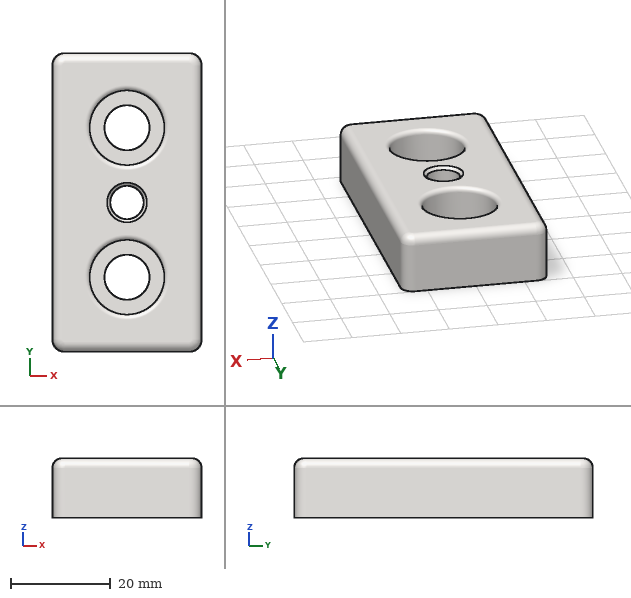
import cadquery as cq

width = 30.0
length = 60.0
height = 12.0
corner_radius = 2.5
top_edge_radius = 2.0

hole_spacing = length / 2
hole_diameter = 9.0
counterbore_diameter = 15.0
counterbore_depth = 9.0
counterbore_edge_radius = 1.0

centre_hole_diameter = 6.65
centre_hole_mouth_diameter = 8.0
centre_chamfer = (centre_hole_mouth_diameter - centre_hole_diameter) / 2


def make_block():
    """Block standing on Z = 0 with rounded corners and a rounded top edge."""
    block = cq.Workplane("XY").box(width, length, height, centered=(True, True, False))
    block = block.edges("|Z").fillet(corner_radius)
    return block.faces(">Z").edges().fillet(top_edge_radius)


def make_counterbored_cutter(y):
    """Through hole and counterbore whose mouth flares out in a convex round."""
    hole_radius = hole_diameter / 2
    bore_radius = counterbore_diameter / 2
    mouth_radius = bore_radius + counterbore_edge_radius
    profile = (
        cq.Workplane("XZ")
        .lineTo(hole_radius, 0)
        .lineTo(hole_radius, height - counterbore_depth)
        .lineTo(bore_radius, height - counterbore_depth)
        .lineTo(bore_radius, height - counterbore_edge_radius)
        .radiusArc((mouth_radius, height), counterbore_edge_radius)
        .lineTo(0, height)
        .close()
    )
    return profile.revolve(360, (0, 0), (0, 1)).translate((0, y, 0))


def make_centre_cutter():
    """Through hole with a chamfered mouth."""
    hole_radius = centre_hole_diameter / 2
    profile = (
        cq.Workplane("XZ")
        .lineTo(hole_radius, 0)
        .lineTo(hole_radius, height - centre_chamfer)
        .lineTo(hole_radius + centre_chamfer, height)
        .lineTo(0, height)
        .close()
    )
    return profile.revolve(360, (0, 0), (0, 1))


result = make_block().cut(make_centre_cutter())
for side in (-1, 1):
    result = result.cut(make_counterbored_cutter(side * hole_spacing / 2))